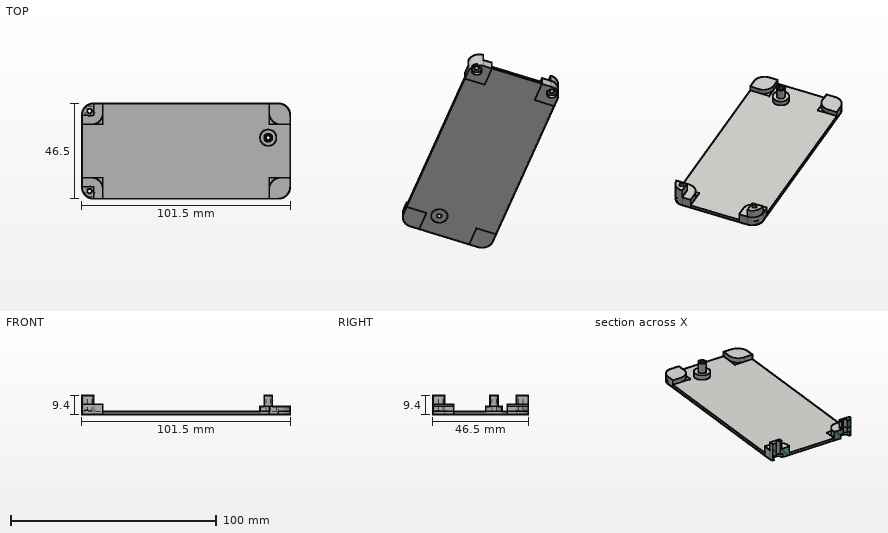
import cadquery as cq

PLATE_LENGTH = 101.5
PLATE_WIDTH = 46.5
PLATE_THICKNESS = 1.6
PLATE_CORNER_RADIUS = 5.75

BLOCK_SIDE = 10.25
PAD_INNER_RADIUS = 5.5
SCREW_PAD_TOP = PLATE_THICKNESS + 3.5
REST_PAD_TOP = PLATE_THICKNESS + 2.5
REST_END_GAP = 0.1

POST_TOP = 9.4
SCREW_INSET = 3.75
SCREW_DIAMETER = 2.2
SCREW_HEAD_DIAMETER = 5.0
SCREW_HEAD_DEPTH = 2.1

STANDOFF_X = 40.0
STANDOFF_Y = 6.5
DISC_DIAMETER = 8.0
DISC_TOP = REST_PAD_TOP
TUBE_DIAMETER = 4.0
TUBE_TOP = POST_TOP
STANDOFF_BORE = 2.2

END_X = PLATE_LENGTH / 2
SIDE_Y = PLATE_WIDTH / 2


def place_in_corner(shape, x_sign, y_sign):
    """Mirror a shape made for the +X +Y corner into the corner with the given signs."""
    if x_sign < 0:
        shape = shape.mirror("YZ")
    if y_sign < 0:
        shape = shape.mirror("XZ")
    return shape


def make_cylinder(x, y, diameter, bottom, top):
    return (
        cq.Workplane("XY", origin=(x, y, bottom))
        .circle(diameter / 2)
        .extrude(top - bottom)
    )


def make_corner_block(pad_top, end_gap):
    """Foot and pad in the +X +Y corner; the pad also has its inner corner rounded."""
    length = BLOCK_SIDE - end_gap
    origin = (END_X - BLOCK_SIDE, SIDE_Y - BLOCK_SIDE, 0)
    outer_corner = "|Z and >X and >Y"
    inner_corner = "|Z and <X and <Y"
    outer_radius = PLATE_CORNER_RADIUS - end_gap

    def rounded_prism(height):
        prism = cq.Workplane("XY", origin=origin).box(length, BLOCK_SIDE, height, centered=False)
        return prism.edges(outer_corner).fillet(outer_radius)

    foot = rounded_prism(PLATE_THICKNESS)
    pad = rounded_prism(pad_top).edges(inner_corner).fillet(PAD_INNER_RADIUS)
    return foot.union(pad)


def make_post():
    """Quarter-round column in the +X +Y corner, following the rounded corner of the plate."""
    radius = PLATE_CORNER_RADIUS
    axis = (END_X - radius, SIDE_Y - radius)
    column = make_cylinder(*axis, 2 * radius, SCREW_PAD_TOP, POST_TOP)
    quarter = cq.Workplane("XY", origin=(*axis, SCREW_PAD_TOP)).box(
        radius, radius, POST_TOP - SCREW_PAD_TOP, centered=False
    )
    return column.intersect(quarter)


def make_screw_hole():
    """Through hole in the +X +Y corner, with a head recess in the underside."""
    axis = (END_X - SCREW_INSET, SIDE_Y - SCREW_INSET)
    shank = make_cylinder(*axis, SCREW_DIAMETER, 0, POST_TOP)
    head = make_cylinder(*axis, SCREW_HEAD_DIAMETER, 0, SCREW_HEAD_DEPTH)
    return shank.union(head)


def make_plate(inserts):
    """Rounded plate with a matching opening for every body set into it."""
    plate = cq.Workplane("XY").box(
        PLATE_LENGTH, PLATE_WIDTH, PLATE_THICKNESS, centered=(True, True, False)
    )
    plate = plate.edges("|Z").fillet(PLATE_CORNER_RADIUS)
    for insert in inserts:
        plate = plate.cut(insert)
    return plate


screw_blanks = {side: place_in_corner(make_corner_block(SCREW_PAD_TOP, 0), -1, side) for side in (-1, 1)}
rest_blocks = [
    place_in_corner(make_corner_block(REST_PAD_TOP, REST_END_GAP), 1, side) for side in (-1, 1)
]
screw_holes = {side: place_in_corner(make_screw_hole(), -1, side) for side in (-1, 1)}

screw_block = screw_blanks[-1].cut(screw_holes[-1])
screw_post = place_in_corner(make_post(), -1, -1).cut(screw_holes[-1])

post_block = screw_blanks[1].union(place_in_corner(make_post(), -1, 1)).cut(screw_holes[1])

disc_blank = make_cylinder(STANDOFF_X, STANDOFF_Y, DISC_DIAMETER, 0, DISC_TOP)
standoff_bore = make_cylinder(STANDOFF_X, STANDOFF_Y, STANDOFF_BORE, 0, TUBE_TOP)
standoff_disc = disc_blank.cut(standoff_bore)
standoff_tube = make_cylinder(STANDOFF_X, STANDOFF_Y, TUBE_DIAMETER, DISC_TOP, TUBE_TOP).cut(standoff_bore)

plate = make_plate([*screw_blanks.values(), *rest_blocks, disc_blank])

result = cq.Compound.makeCompound([
    plate.val(),
    screw_block.val(),
    screw_post.val(),
    post_block.val(),
    *[block.val() for block in rest_blocks],
    standoff_disc.val(),
    standoff_tube.val(),
])